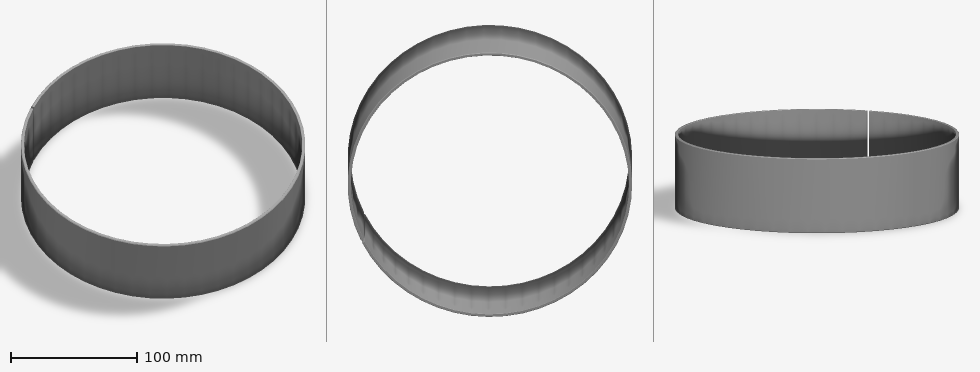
import cadquery as cq

outer_diameter = 225.0
wall_thickness = 2.5
height = 60.0

outer_chamfer = 0.5
inner_chamfer = 0.2

slit_angle = 1.0
slit_direction = 180.0

outer_radius = outer_diameter / 2
inner_radius = outer_radius - wall_thickness
half_height = height / 2


def make_wall_profile():
    """Wall section in the XZ plane, with all four corners chamfered."""
    return (
        cq.Workplane("XZ")
        .moveTo(inner_radius + inner_chamfer, -half_height)
        .lineTo(outer_radius - outer_chamfer, -half_height)
        .lineTo(outer_radius, -half_height + outer_chamfer)
        .lineTo(outer_radius, half_height - outer_chamfer)
        .lineTo(outer_radius - outer_chamfer, half_height)
        .lineTo(inner_radius + inner_chamfer, half_height)
        .lineTo(inner_radius, half_height - inner_chamfer)
        .lineTo(inner_radius, -half_height + inner_chamfer)
        .close()
    )


def make_split_band():
    """Sweep the wall around Z, leaving the slit open, and turn the slit to the -X side."""
    band = make_wall_profile().revolve(360 - slit_angle, (0, 0, 0), (0, 1, 0))
    return band.rotate((0, 0, 0), (0, 0, 1), slit_direction)


result = make_split_band()